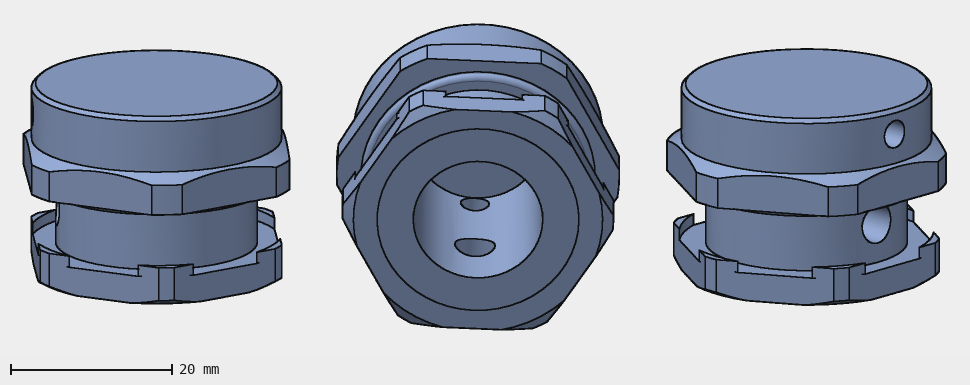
import cadquery as cq
import math

HEIGHT = 24.0
CAP_RADIUS = 15.5
CAP_CHAMFER = 0.52
HEX_FLATS = 32.0
HEX_CORNER_RADIUS = 17.5
HEX_BOTTOM = 12.0
HEX_CORNER_TOP = 15.8
COLLAR_RADIUS = 14.5
COLLAR_BOTTOM = 11.02
COLLAR_FILLET = 0.77
NECK_RADIUS = 12.5
BORE_RADIUS = 8.0
ROOF = 1.4

HOLE_ANGLE = 240.0
UPPER_HOLE_DIAMETER = 3.5
UPPER_HOLE_Z = 20.75
LOWER_HOLE_DIAMETER = 4.95
LOWER_HOLE_Z = 8.55

NUT_FLATS = 30.0
NUT_CORNER_RADIUS = 16.8
NUT_HEIGHT = 5.0
NUT_FLOOR = 3.57
NUT_RECESS_RADIUS = 15.75
NUT_BOTTOM_RADIUS = 15.43

CHAMFER_SLOPE = math.tan(math.radians(30))


def disc(radius, bottom, top):
    return cq.Workplane("XY").workplane(offset=bottom).circle(radius).extrude(top - bottom)


def hexagon(flats, bottom, top):
    """Hexagonal prism with two flats facing -X and +X."""
    corner_diameter = flats / math.cos(math.pi / 6)
    prism = cq.Workplane("XY").polygon(6, corner_diameter).extrude(top - bottom)
    return prism.rotate((0, 0, 0), (0, 0, 1), 30).translate((0, 0, bottom))


def turned(profile):
    """Solid of revolution about Z from (radius, height) points."""
    return cq.Workplane("XZ").polyline(profile).close().revolve(360, (0, 0), (0, 1))


def vent_hole(diameter, z):
    """Radial cutter from the axis outwards."""
    angle = math.radians(HOLE_ANGLE)
    direction = cq.Vector(math.cos(angle), math.sin(angle), 0)
    cutter = cq.Solid.makeCylinder(diameter / 2, HEX_CORNER_RADIUS, cq.Vector(0, 0, z), direction)
    return cq.Workplane(obj=cutter)


def make_plug():
    cone_top = HEX_CORNER_TOP + (HEX_CORNER_RADIUS - CAP_RADIUS) * CHAMFER_SLOPE
    hex_envelope = turned([
        (0, HEX_BOTTOM),
        (HEX_CORNER_RADIUS, HEX_BOTTOM),
        (HEX_CORNER_RADIUS, HEX_CORNER_TOP),
        (CAP_RADIUS, cone_top),
        (0, cone_top),
    ])
    hex_flange = hexagon(HEX_FLATS, HEX_BOTTOM, cone_top).intersect(hex_envelope)
    cap = disc(CAP_RADIUS, HEX_BOTTOM, HEIGHT).faces(">Z").chamfer(CAP_CHAMFER)
    collar = disc(COLLAR_RADIUS, COLLAR_BOTTOM, HEX_BOTTOM).faces("<Z").edges().fillet(COLLAR_FILLET)
    neck = disc(NECK_RADIUS, 0, HEX_BOTTOM)
    plug = neck.union(collar).union(hex_flange).union(cap)
    plug = plug.cut(disc(BORE_RADIUS, 0, HEIGHT - ROOF))
    plug = plug.cut(vent_hole(UPPER_HOLE_DIAMETER, UPPER_HOLE_Z))
    return plug.cut(vent_hole(LOWER_HOLE_DIAMETER, LOWER_HOLE_Z))


def make_lock_nut():
    chamfer_height = (NUT_CORNER_RADIUS - NUT_BOTTOM_RADIUS) * CHAMFER_SLOPE
    envelope = turned([
        (0, 0),
        (NUT_BOTTOM_RADIUS, 0),
        (NUT_CORNER_RADIUS, chamfer_height),
        (NUT_CORNER_RADIUS, NUT_HEIGHT),
        (0, NUT_HEIGHT),
    ])
    nut = hexagon(NUT_FLATS, 0, NUT_HEIGHT).intersect(envelope)
    nut = nut.cut(disc(NUT_RECESS_RADIUS, NUT_FLOOR, NUT_HEIGHT))
    return nut.cut(disc(NECK_RADIUS, 0, NUT_HEIGHT))


plug = make_plug()
lock_nut = make_lock_nut()
result = cq.Compound.makeCompound([plug.val(), lock_nut.val()])